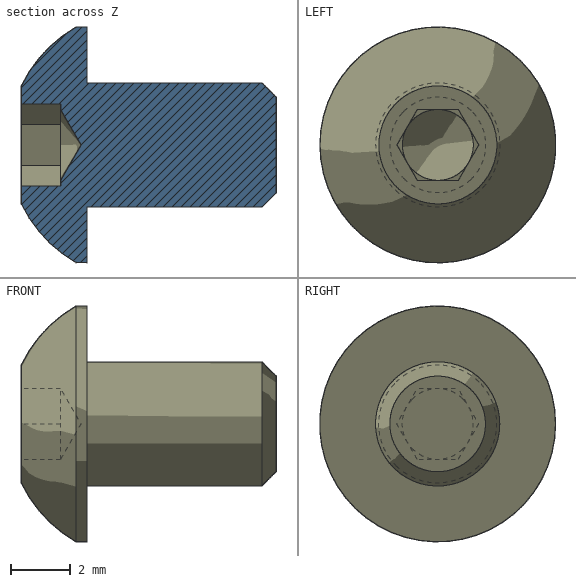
import cadquery as cq
import math

head_diameter = 7.92
head_height = 2.21
rim_thickness = 0.37
crown_flat_diameter = head_diameter / 2
shank_diameter = 4.17
shank_length = 6.35
tip_chamfer = 0.48
hex_across_flats = 2.38
hex_depth = 1.32
drill_point_angle = 120

head_radius = head_diameter / 2
shank_radius = shank_diameter / 2
crown_flat_radius = crown_flat_diameter / 2

crown_depth = head_height - rim_thickness
centre_to_rim = (head_radius**2 - crown_flat_radius**2 - crown_depth**2) / (2 * crown_depth)
crown_sphere_radius = math.hypot(centre_to_rim, head_radius)


def screw_blank():
    """Head and shank revolved about X from a half profile."""
    crown_centre_x = centre_to_rim - rim_thickness
    middle_radius = (crown_flat_radius + head_radius) / 2
    middle_x = crown_centre_x - math.sqrt(crown_sphere_radius**2 - middle_radius**2)
    profile = (
        cq.Workplane("XY")
        .moveTo(-head_height, 0)
        .lineTo(-head_height, crown_flat_radius)
        .threePointArc((middle_x, middle_radius), (-rim_thickness, head_radius))
        .lineTo(0, head_radius)
        .lineTo(0, shank_radius)
        .lineTo(shank_length - tip_chamfer, shank_radius)
        .lineTo(shank_length, shank_radius - tip_chamfer)
        .lineTo(shank_length, 0)
        .close()
    )
    return profile.revolve(360, (0, 0, 0), (1, 0, 0))


def hex_socket():
    """Hexagonal recess with corners on the Y axis and a conical bottom."""
    across_corners = hex_across_flats / math.cos(math.pi / 6)
    prism = (
        cq.Workplane("YZ", origin=(-head_height, 0, 0))
        .polygon(6, across_corners)
        .extrude(hex_depth)
    )
    cone_radius = hex_across_flats / 2
    cone_height = cone_radius / math.tan(math.radians(drill_point_angle / 2))
    floor = cq.Vector(hex_depth - head_height, 0, 0)
    cone = cq.Solid.makeCone(cone_radius, 0, cone_height, floor, cq.Vector(1, 0, 0))
    return prism.union(cq.Workplane(cone))


result = screw_blank().cut(hex_socket())